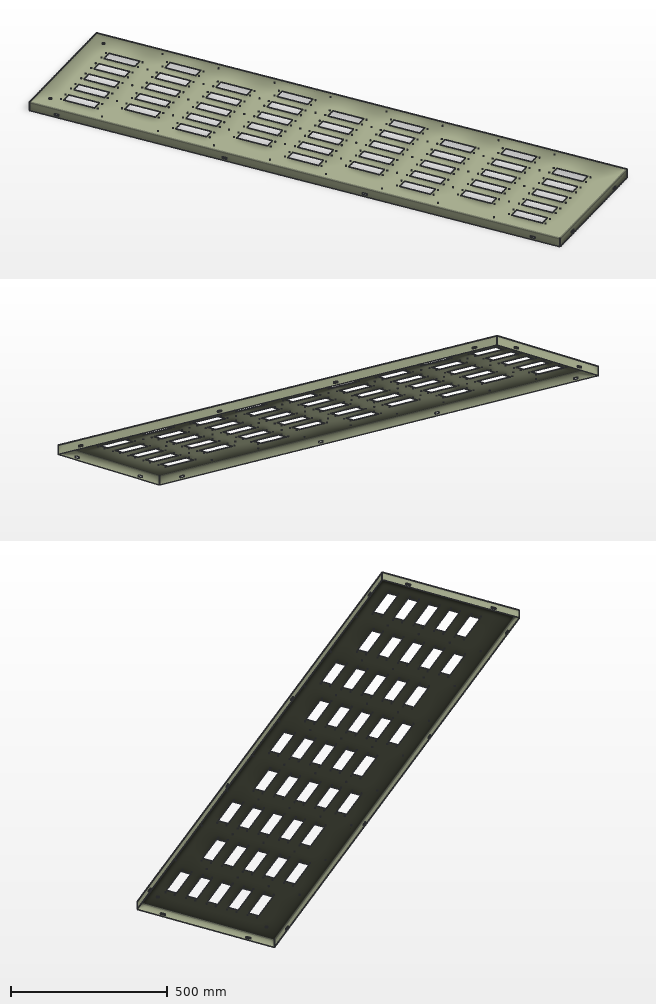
import cadquery as cq

length = 1897.0
width = 484.0
height = 32.0
sheet = 2.0
bend_radius = 2.5
corner_gap = bend_radius

column_count = 9
row_count = 5
column_span = 1600.0
row_span = 288.0
column_pitch = column_span / (column_count - 1)
row_pitch = row_span / (row_count - 1)
column_shift = row_pitch / 4
window_length = 110.0
window_width = 36.0

window_hole_diameter = 3.6
window_hole_spacing_x = 130.0
window_hole_spacing_y = 32.0

fixing_hole_diameter = 4.0
fixing_column_count = column_count - 1
fixing_row_count = 5
fixing_row_span = 435.0
fixing_row_pitch = fixing_row_span / (fixing_row_count - 1)

end_hole_diameter = 10.0
end_hole_x = -897.0
end_hole_spacing = 381.0

wall_slot_length = 18.0
wall_slot_height = 6.0
wall_slot_z = 10.0
long_wall_slot_x = (-850.0, -250.0, 250.0, 850.0)
end_wall_slot_y = (-150.0, 150.0)


def block(size_x, size_y, size_z):
    """Box centered in X and Y that stands on Z = 0."""
    return cq.Workplane("XY").box(size_x, size_y, size_z, centered=(True, True, False))


def make_tray():
    outer = block(length, width, height)
    outer = outer.faces(">Z").edges().fillet(bend_radius)
    inner = block(length - 2 * sheet, width - 2 * sheet, height - sheet)
    inner = inner.faces(">Z").edges().fillet(bend_radius - sheet)
    notches = (
        cq.Workplane("XY")
        .rect(length - corner_gap, width - corner_gap, forConstruction=True)
        .vertices()
        .rect(corner_gap, corner_gap)
        .extrude(height)
    )
    return outer.cut(inner).cut(notches)


def window_centers():
    centers = []
    for column in range(column_count):
        x = (column - (column_count - 1) / 2) * column_pitch
        shift = -column_shift if column % 2 == 0 else column_shift
        for row in range(row_count):
            y = (row - (row_count - 1) / 2) * row_pitch + shift
            centers.append((x, y))
    return centers


def window_hole_centers():
    dx = window_hole_spacing_x / 2
    dy = window_hole_spacing_y / 2
    corners = [(-dx, -dy), (dx, -dy), (-dx, dy), (dx, dy)]
    return [(x + cx, y + cy) for x, y in window_centers() for cx, cy in corners]


def round_holes(centers, diameter):
    """Cutters for round holes through the top sheet."""
    return centers.circle(diameter / 2).extrude(height)


def wall_slots(plane, positions, depth):
    """Slot cutters that run through both opposite walls."""
    return (
        cq.Workplane(plane)
        .pushPoints([(position, wall_slot_z) for position in positions])
        .slot2D(wall_slot_length, wall_slot_height)
        .extrude(depth / 2, both=True)
    )


base = cq.Workplane("XY")
windows = base.pushPoints(window_centers()).rect(window_length, window_width).extrude(height)
window_holes = round_holes(base.pushPoints(window_hole_centers()), window_hole_diameter)
fixing_holes = round_holes(
    base.rarray(column_pitch, fixing_row_pitch, fixing_column_count, fixing_row_count),
    fixing_hole_diameter,
)
end_hole_centers = [(end_hole_x, -end_hole_spacing / 2), (end_hole_x, end_hole_spacing / 2)]
end_holes = round_holes(base.pushPoints(end_hole_centers), end_hole_diameter)

result = (
    make_tray()
    .cut(windows)
    .cut(window_holes)
    .cut(fixing_holes)
    .cut(end_holes)
    .cut(wall_slots("XZ", long_wall_slot_x, width))
    .cut(wall_slots("YZ", end_wall_slot_y, length))
)